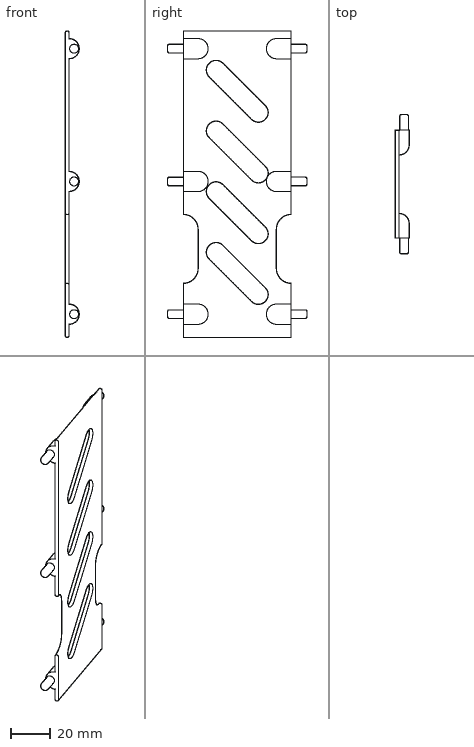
import cadquery as cq
import math

length = 155.9
width = 54.9
thickness = 2.0
edge_round = thickness / 2

slot_count = 4
slot_width = 9.8
slot_overall_length = 40.2
slot_angle = 135.0
slot_pitch = 30.9
top_slot_z = 47.2

notch_depth = 7.5
notch_height = 34.9
notch_z = -32.9
notch_radius = notch_depth + edge_round

overall_width = 71.0
pin_diameter = 4.5
pin_x = 4.5
pin_tip_round = 1.0
pin_pitch = 67.5
top_pin_z = 68.9
pin_levels = [top_pin_z - i * pin_pitch for i in range(3)]
boss_radius = 5.1
boss_straight_length = 7.5

half_width = width / 2
sides = (-1, 1)


def make_plate():
    """Flat plate whose top and bottom edges are fully rounded."""
    return (
        cq.Workplane("XZ")
        .center(thickness / 2, 0)
        .slot2D(length, thickness, 90)
        .extrude(half_width, both=True)
    )


def notch_path(side):
    """Line where the flat faces end around a notch: a straight run between two quarter arcs."""
    outer_y = side * half_width
    inner_y = side * (half_width - notch_radius)
    middle_y = side * (half_width - notch_radius * math.sqrt(0.5))
    straight_half = notch_height / 2 - notch_depth
    middle_z = straight_half + notch_radius * math.sqrt(0.5)
    end_z = straight_half + notch_radius
    return (
        cq.Workplane("YZ", origin=(thickness / 2, 0, notch_z))
        .moveTo(outer_y, -end_z)
        .threePointArc((middle_y, -middle_z), (inner_y, -straight_half))
        .lineTo(inner_y, straight_half)
        .threePointArc((middle_y, middle_z), (outer_y, end_z))
    )


def cut_notch(plate, side):
    """Cut a notch and line it with a half-round bead, so its rim is fully rounded."""
    cutter = notch_path(side).close().extrude(thickness, both=True)
    path_start_z = notch_z - (notch_height / 2 + edge_round)
    bead = (
        cq.Workplane("XZ", origin=(thickness / 2, side * half_width, path_start_z))
        .moveTo(-edge_round, 0)
        .threePointArc((0, edge_round), (edge_round, 0))
        .close()
        .sweep(notch_path(side))
    )
    return plate.cut(cutter).union(bead)


def make_slots():
    """Cutters for the row of diagonal slots."""
    centers = [(0, top_slot_z - i * slot_pitch) for i in range(slot_count)]
    return (
        cq.Workplane("YZ")
        .pushPoints(centers)
        .slot2D(slot_overall_length, slot_width, slot_angle)
        .extrude(thickness)
    )


def make_boss_and_pin(side, z):
    """Half-round boss with a spherical inner end, and the pin pointing outwards from it."""
    outer_y = side * half_width
    dome_start_y = outer_y - side * boss_straight_length
    dome_tip_y = dome_start_y - side * boss_radius
    dome_mid = boss_radius * math.sqrt(0.5)
    boss = (
        cq.Workplane("XY")
        .moveTo(0, outer_y)
        .lineTo(boss_radius, outer_y)
        .lineTo(boss_radius, dome_start_y)
        .threePointArc((dome_mid, dome_start_y - side * dome_mid), (0, dome_tip_y))
        .close()
        .revolve(180, (0, 0), (0, 1))
        .rotate((0, 0, 0), (0, 1, 0), -90)
        .translate((thickness, 0, z))
    )

    pin_start = cq.Vector(pin_x, dome_start_y, z)
    pin_length = overall_width / 2 - abs(dome_start_y)
    outward = cq.Vector(0, side, 0)
    pin = cq.Workplane(cq.Solid.makeCylinder(pin_diameter / 2, pin_length, pin_start, outward))
    tip = ">Y" if side > 0 else "<Y"
    pin = pin.faces(tip).edges().fillet(pin_tip_round)
    return boss.union(pin)


result = make_plate().cut(make_slots())
for notch_side in sides:
    result = cut_notch(result, notch_side)
for pin_z in pin_levels:
    for pin_side in sides:
        result = result.union(make_boss_and_pin(pin_side, pin_z))